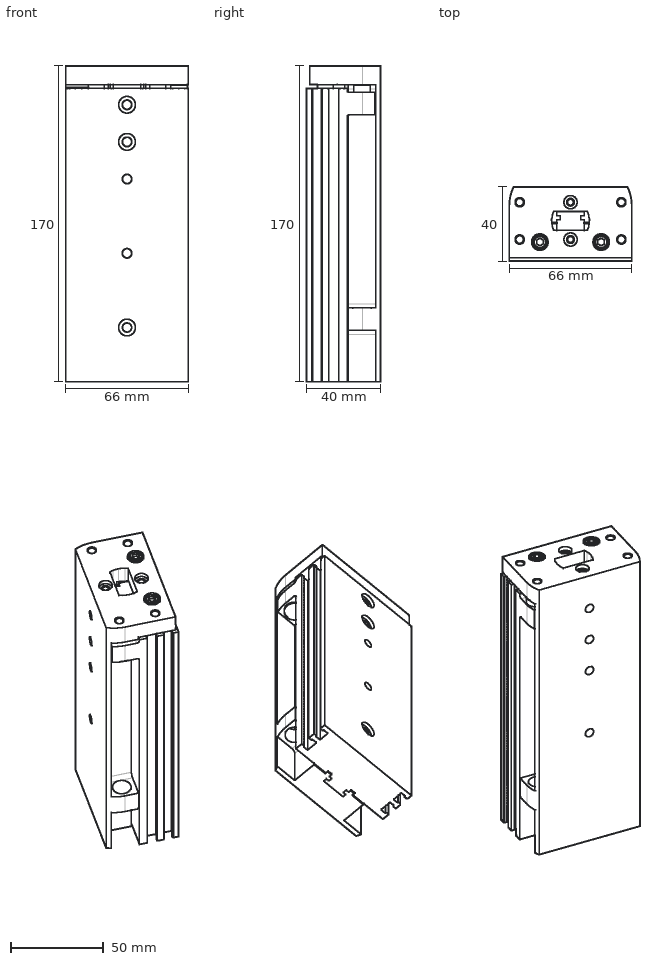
import cadquery as cq
import math

width = 66.0
depth = 40.0
height = 170.0
half_width = width / 2
past_end = 1.7

plate_thickness = 10.0
plate_front_y = 1.7
plate_bottom_z = height - plate_thickness
crown_start_y = 30.1
crown_half_width = 30.6
wall_thickness = 2.7
wall_inner_y = depth - wall_thickness
web_half_width = 18.7
web_front_y = 22.5
web_step_y = 20.7
running_gap = 0.5
shoulder_z = 158.5

pocket_radius = 2.2
block_bottom_z = 27.7
block_top_z = 39.8
stop_x = 26.2
stop_y = 30.0
block_bore_diameter = 10.0

housing_depth = web_front_y - running_gap
housing_height = 158.0
front_slot_y = (3.4, 8.0)
rear_slot_y = (12.0, 17.5)
slot_mouth_chamfer = 0.5
slot_lip_depth = 2.0
slot_undercut = 0.7
slot_depth = 5.1
ear_bottom_z = 143.6
ear_top_z = 155.7
ear_rear_y = 36.9
ear_inner_x = 19.2
ear_corner_radius = 1.5
damper_diameter = 11.0
damper_length = 1.0
stop_bolt_x = 28.0
stop_bolt_diameter = 9.0
stop_bolt_chamfer = 0.5

rail_half_width = 7.3
rail_front_y = 16.7
rail_foot_y = 14.1
rail_top_z = 161.8
rail_rear_y = 26.5
race_depth = 1.9
race_front_y = 22.3
race_rear_y = 24.5

window_half_width = 10.2
window_front_y = 16.5
window_rear_y = 26.7
window_corner = 1.7
window_end_half_width = 9.0
window_bevel = 0.5

mount_diameter = 5.0
mount_bore_diameter = 9.0
mount_bore_depth = 2.0
mount_first_z = 29.2
mount_pitch = 40.0
mount_last_z = mount_first_z + 3 * mount_pitch
plain_mounts_z = [mount_first_z + n * mount_pitch for n in (1, 2)]
bored_mounts_z = [mount_first_z, mount_last_z - mount_pitch / 2, mount_last_z]
through_mounts_z = plain_mounts_z + bored_mounts_z[1:]

corner_hole_x = 27.4
hole_rear_y = 31.6
hole_front_y = 11.5
corner_thread_diameter = 4.0
corner_mouth_diameter = 5.0
center_thread_diameter = 3.2
center_mouth_diameter = 4.0
thread_end_z = 163.2
center_bore_diameter = 7.1
center_bore_depth = 2.4

rod_x = 16.5
rod_y = 10.2
rod_centers = [(-rod_x, rod_y), (rod_x, rod_y)]
rod_diameter = 8.5
rod_recess_diameter = 16.0
rod_recess_depth = 0.7
rod_recess_z = housing_height - rod_recess_depth
head_bore_diameter = 8.8
head_diameter = 7.1
head_chamfer = 0.5
head_gap_depth = 1.4
socket_diameter = 4.0
socket_depth = 1.7
socket_turn = 30.0


def block(x_range, y_range, z_range):
    """Box between two limits on each axis."""
    sizes = [high - low for low, high in (x_range, y_range, z_range)]
    corner = (x_range[0], y_range[0], z_range[0])
    return cq.Workplane("XY").box(*sizes, centered=False).translate(corner)


def upright(diameter, z_range, centers):
    """Vertical cylinders at the given XY centers."""
    bottom, top = z_range
    base = cq.Workplane("XY", origin=(0, 0, bottom))
    return base.pushPoints(centers).circle(diameter / 2).extrude(top - bottom)


def crossing(diameter, length, heights):
    """Cylinders running rearward from the front face at X = 0."""
    centers = [(0, z) for z in heights]
    return cq.Workplane("XZ").pushPoints(centers).circle(diameter / 2).extrude(-length)


def outline(front_y):
    """Full-height prism with straight sides that curve inward toward the rear face."""
    rise = depth - crown_start_y
    inset = half_width - crown_half_width
    radius = (rise**2 + inset**2) / (2 * inset)
    half_angle = math.asin(rise / radius) / 2
    mid_x = half_width - radius * (1 - math.cos(half_angle))
    mid_y = crown_start_y + radius * math.sin(half_angle)
    return (
        cq.Workplane("XY")
        .moveTo(-half_width, front_y)
        .lineTo(half_width, front_y)
        .lineTo(half_width, crown_start_y)
        .threePointArc((mid_x, mid_y), (crown_half_width, depth))
        .lineTo(-crown_half_width, depth)
        .threePointArc((-mid_x, mid_y), (-half_width, crown_start_y))
        .close()
        .extrude(height)
    )


def side_pocket(side, bottom_z, top_z):
    """Cutter for one side pocket, rounded where it meets the web."""
    x_range = sorted((side * web_half_width, side * (half_width + past_end)))
    pocket = block(x_range, (web_front_y - past_end, wall_inner_y), (bottom_z, top_z))
    inner_edges = "|Y and <X" if side > 0 else "|Y and >X"
    return pocket.edges(inner_edges).fillet(pocket_radius)


def rail_window():
    """Window with bevelled corners, from the top face down to the housing."""
    right_half = [
        (window_end_half_width, window_front_y),
        (window_half_width - window_bevel, window_front_y + window_corner),
        (window_half_width, (window_front_y + window_rear_y) / 2),
        (window_half_width - window_bevel, window_rear_y - window_corner),
        (window_end_half_width, window_rear_y),
    ]
    left_half = [(-x, y) for x, y in reversed(right_half)]
    floor = cq.Workplane("XY", origin=(0, 0, housing_height))
    return floor.polyline(right_half + left_half).close().extrude(height - housing_height)


def rail_section():
    """Rail with a ball race along each flank."""
    z_range = (0, rail_top_z)
    rail = block((-rail_half_width, rail_half_width), (rail_front_y, rail_rear_y), z_range)
    for side in (-1, 1):
        x_range = sorted((side * (rail_half_width - race_depth), side * (rail_half_width + past_end)))
        rail = rail.cut(block(x_range, (race_front_y, race_rear_y), z_range))
    return rail


def make_table():
    table = outline(web_front_y)
    plate_front = block((-half_width, half_width), (plate_front_y, web_front_y), (plate_bottom_z, height))
    web_step = block((-window_half_width, window_half_width), (web_step_y, web_front_y), (0, plate_bottom_z))
    table = table.union(plate_front).union(web_step)

    for side, upper_z in ((-1, shoulder_z), (1, plate_bottom_z)):
        table = table.cut(side_pocket(side, block_top_z, upper_z))
        table = table.cut(side_pocket(side, -past_end - pocket_radius, block_bottom_z))
    stop_centers = [(-stop_x, stop_y), (stop_x, stop_y)]
    table = table.cut(upright(block_bore_diameter, (block_bottom_z, block_top_z), stop_centers))

    table = table.union(upright(rod_diameter, (rod_recess_z, plate_bottom_z), rod_centers))

    table = table.cut(rail_window()).cut(rail_section())
    table = cut_plate_holes(table)
    table = cut_screw_heads(table)
    return table.cut(crossing(mount_diameter, depth, through_mounts_z))


def chamfered_hole(diameter, mouth_diameter, z_range, centers):
    """Cutter for vertical holes with a 45 degree chamfer at the mouth."""
    chamfer = (mouth_diameter - diameter) / 2
    holes = upright(diameter, z_range, centers)
    mouth_z = z_range[1] - chamfer
    for x, y in centers:
        cone = cq.Solid.makeCone(diameter / 2, mouth_diameter / 2, chamfer, cq.Vector(x, y, mouth_z))
        holes = holes.union(cq.Workplane(cone))
    return holes


def cut_plate_holes(table):
    corners = [(x, y) for x in (-corner_hole_x, corner_hole_x) for y in (hole_front_y, hole_rear_y)]
    corner_range = (thread_end_z, height)
    table = table.cut(chamfered_hole(corner_thread_diameter, corner_mouth_diameter, corner_range, corners))

    centers = [(0, hole_front_y), (0, hole_rear_y)]
    bore_floor_z = height - center_bore_depth
    center_range = (thread_end_z, bore_floor_z)
    table = table.cut(upright(center_bore_diameter, (bore_floor_z, height), centers))
    return table.cut(chamfered_hole(center_thread_diameter, center_mouth_diameter, center_range, centers))


def cut_screw_heads(table):
    """Ring-shaped gap around each chamfered screw head, and its hexagon socket."""
    gap_range = (height - head_gap_depth, height)
    heads = upright(head_diameter, gap_range, rod_centers).faces(">Z").chamfer(head_chamfer)
    gaps = upright(head_bore_diameter, gap_range, rod_centers).cut(heads)
    for x, y in rod_centers:
        socket_floor = cq.Workplane("XY", origin=(x, y, height - socket_depth))
        socket_floor = socket_floor.transformed(rotate=(0, 0, socket_turn))
        socket = socket_floor.polygon(6, socket_diameter).extrude(socket_depth)
        table = table.cut(socket)
    return table.cut(gaps)


def make_ear(side):
    """Stop ear that reaches into a side pocket, blended into the housing."""
    root_y = housing_depth
    r = ear_corner_radius
    profile = (
        cq.Workplane("YZ")
        .moveTo(root_y, ear_bottom_z - r)
        .radiusArc((root_y + r, ear_bottom_z), r)
        .lineTo(ear_rear_y, ear_bottom_z)
        .lineTo(ear_rear_y, ear_top_z)
        .lineTo(root_y + r, ear_top_z)
        .radiusArc((root_y, ear_top_z + r), r)
        .close()
        .extrude(side * (half_width - ear_inner_x))
        .translate((side * ear_inner_x, 0, 0))
    )
    return profile.intersect(outline(0))


def side_slot(side, y_range, chamfer):
    """T-shaped slot cutter along one side face, optionally chamfered at its mouth."""
    front_y, rear_y = y_range
    mouth_x = side * half_width
    lip_x = side * (half_width - slot_lip_depth)
    floor_x = side * (half_width - slot_depth)
    z_range = (0, housing_height)
    neck = block(sorted((mouth_x, lip_x)), y_range, z_range)
    cavity_y = (front_y - slot_undercut, rear_y + slot_undercut)
    slot = neck.union(block(sorted((lip_x, floor_x)), cavity_y, z_range))
    if chamfer:
        mouth = (
            cq.Workplane("XY")
            .moveTo(mouth_x, front_y - chamfer)
            .lineTo(mouth_x, rear_y + chamfer)
            .lineTo(mouth_x - side * chamfer, rear_y)
            .lineTo(mouth_x - side * chamfer, front_y)
            .close()
            .extrude(housing_height)
        )
        slot = slot.union(mouth)
    return slot


def make_housing():
    housing = block((-half_width, half_width), (0, housing_depth), (0, housing_height))
    for side in (-1, 1):
        housing = housing.cut(side_slot(side, front_slot_y, slot_mouth_chamfer))
        housing = housing.cut(side_slot(side, rear_slot_y, 0))
        housing = housing.union(make_ear(side))

    clearance_x = (-window_half_width, window_half_width)
    clearance_y = (web_step_y - running_gap, housing_depth)
    clearance = block(clearance_x, clearance_y, (0, housing_height))
    housing = housing.cut(clearance).union(rail_section())
    foot_x = (-rail_half_width, rail_half_width)
    housing = housing.union(block(foot_x, (rail_foot_y, rail_front_y), (0, plate_bottom_z)))

    nose_range = (ear_bottom_z - damper_length, ear_bottom_z)
    bolt_range = (ear_top_z, plate_bottom_z)
    bolt = upright(stop_bolt_diameter, bolt_range, [(stop_bolt_x, stop_y)])
    bolt = bolt.faces(">Z").chamfer(stop_bolt_chamfer)
    housing = housing.union(upright(damper_diameter, nose_range, [(-stop_x, stop_y)]))
    housing = housing.union(bolt)

    housing = housing.cut(upright(rod_recess_diameter, (rod_recess_z, housing_height), rod_centers))
    housing = housing.cut(crossing(mount_diameter, depth, plain_mounts_z + bored_mounts_z))
    return housing.cut(crossing(mount_bore_diameter, mount_bore_depth, bored_mounts_z))


table = make_table()
housing = make_housing()
result = cq.Compound.makeCompound([table.val(), housing.val()])